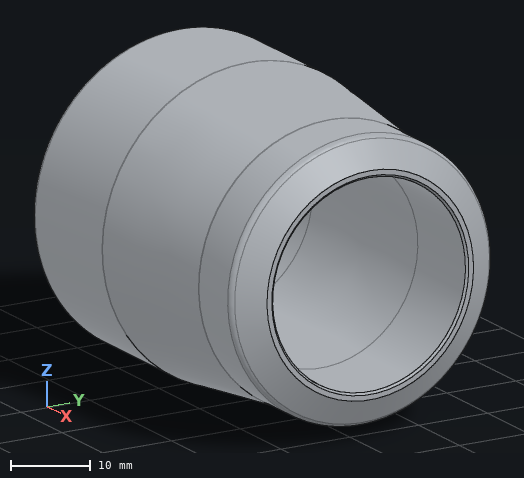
import cadquery as cq
import math

TOTAL_LENGTH = 50.0
LARGE_LENGTH = 20.0
TAPER_LENGTH = 20.0

LARGE_DIAMETER = 42.4
SMALL_DIAMETER = 38.0
LARGE_BORE = 28.2
SMALL_BORE = 28.0

BORE_STRAIGHT_LENGTH = 12.0

BEVEL_ANGLE = 30.0
LARGE_LAND = 2.0
SMALL_LAND = 1.0

OUTER_FILLET = 1.0
MOUTH_CHAMFER = 0.3

X_START = -TOTAL_LENGTH / 2
X_END = X_START + TOTAL_LENGTH


def bevel_length(outer_radius, face_radius):
    """Axial length of a bevel from its end face out to the full radius."""
    return (outer_radius - face_radius) * math.tan(math.radians(BEVEL_ANGLE))


def revolve_profile(points):
    """Solid of revolution about X of a closed outline of (x, radius) points."""
    return (
        cq.Workplane("XZ")
        .polyline(points)
        .close()
        .revolve(360, (0, 0, 0), (1, 0, 0))
    )


def make_body():
    """Solid outer shape: two cylinders joined by a taper, bevelled at both ends."""
    large_radius = LARGE_DIAMETER / 2
    small_radius = SMALL_DIAMETER / 2
    large_face_radius = LARGE_BORE / 2 + LARGE_LAND
    small_face_radius = SMALL_BORE / 2 + SMALL_LAND
    taper_start = X_START + LARGE_LENGTH
    taper_end = taper_start + TAPER_LENGTH
    body = revolve_profile([
        (X_START, 0),
        (X_START, large_face_radius),
        (X_START + bevel_length(large_radius, large_face_radius), large_radius),
        (taper_start, large_radius),
        (taper_end, small_radius),
        (X_END - bevel_length(small_radius, small_face_radius), small_radius),
        (X_END, small_face_radius),
        (X_END, 0),
    ])
    return body.edges("%CIRCLE and (not <X) and (not >X)").fillet(OUTER_FILLET)


def make_bore():
    """Through passage: two cylinders joined by a slight taper."""
    taper_start = X_START + BORE_STRAIGHT_LENGTH
    taper_end = X_END - BORE_STRAIGHT_LENGTH
    return revolve_profile([
        (X_START, 0),
        (X_START, LARGE_BORE / 2),
        (taper_start, LARGE_BORE / 2),
        (taper_end, SMALL_BORE / 2),
        (X_END, SMALL_BORE / 2),
        (X_END, 0),
    ])


def chamfer_bore_mouths(part):
    """Chamfers the inner rim of each end face."""
    rims = [
        part.faces(side).edges(cq.selectors.RadiusNthSelector(0)).val()
        for side in ("<X", ">X")
    ]
    return part.newObject(rims).chamfer(MOUTH_CHAMFER)


result = chamfer_bore_mouths(make_body().cut(make_bore()))